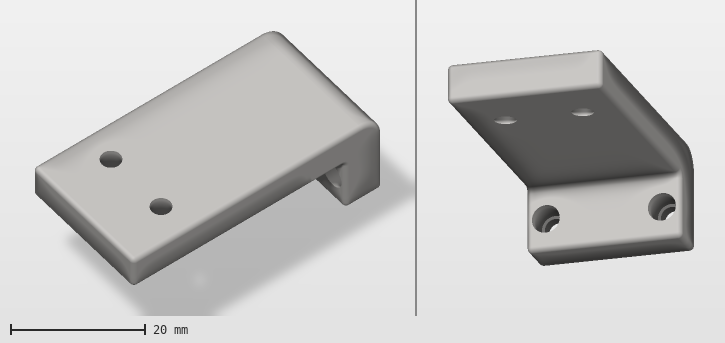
import cadquery as cq

width = 24.0
length = 47.0
height = 16.0

plate_thickness = 6.0
leg_thickness = 7.0
outer_bend_radius = 4.0
inner_bend_radius = 0.75
edge_radius = 0.75

hole_diameter = 3.4
leg_hole_spacing = 18.0
leg_hole_drop = 11.0
counterbore_diameter = 4.32
counterbore_depth = 5.0
plate_hole_spacing = 12.0
plate_hole_setback = 10.0

leg_front = length - leg_thickness
plate_bottom = height - plate_thickness


def make_body():
    """L-shaped profile with a rounded bend and rounded outer edges."""
    body = (
        cq.Workplane("YZ")
        .moveTo(0, plate_bottom)
        .lineTo(leg_front, plate_bottom)
        .lineTo(leg_front, 0)
        .lineTo(length, 0)
        .lineTo(length, height)
        .lineTo(0, height)
        .close()
        .extrude(width / 2, both=True)
    )
    inner_corner = cq.NearestToPointSelector((0, leg_front, plate_bottom))
    outer_corner = cq.NearestToPointSelector((0, length, height))
    body = body.edges(inner_corner).fillet(inner_bend_radius)
    body = body.edges(outer_corner).fillet(outer_bend_radius)

    side_edges = body.faces("<X or >X").edges()
    end_edges = body.faces("<Y or <Z").edges("|X")
    return body.newObject(side_edges.vals() + end_edges.vals()).fillet(edge_radius)


def leg_hole_cutter(x):
    """Through hole along Y, counterbored from the inner leg face."""
    axis = cq.Vector(0, 1, 0)
    mouth = cq.Vector(x, leg_front, height - leg_hole_drop)
    bore = cq.Solid.makeCylinder(hole_diameter / 2, leg_thickness, mouth, axis)
    counterbore = cq.Solid.makeCylinder(counterbore_diameter / 2, counterbore_depth, mouth, axis)
    return bore.fuse(counterbore)


def plate_hole_cutter(x):
    """Plain through hole along Z near the free end of the plate."""
    base = cq.Vector(x, plate_hole_setback, plate_bottom)
    return cq.Solid.makeCylinder(hole_diameter / 2, plate_thickness, base, cq.Vector(0, 0, 1))


result = make_body()
for side in (-1, 1):
    result = result.cut(cq.Workplane(leg_hole_cutter(side * leg_hole_spacing / 2)))
    result = result.cut(cq.Workplane(plate_hole_cutter(side * plate_hole_spacing / 2)))